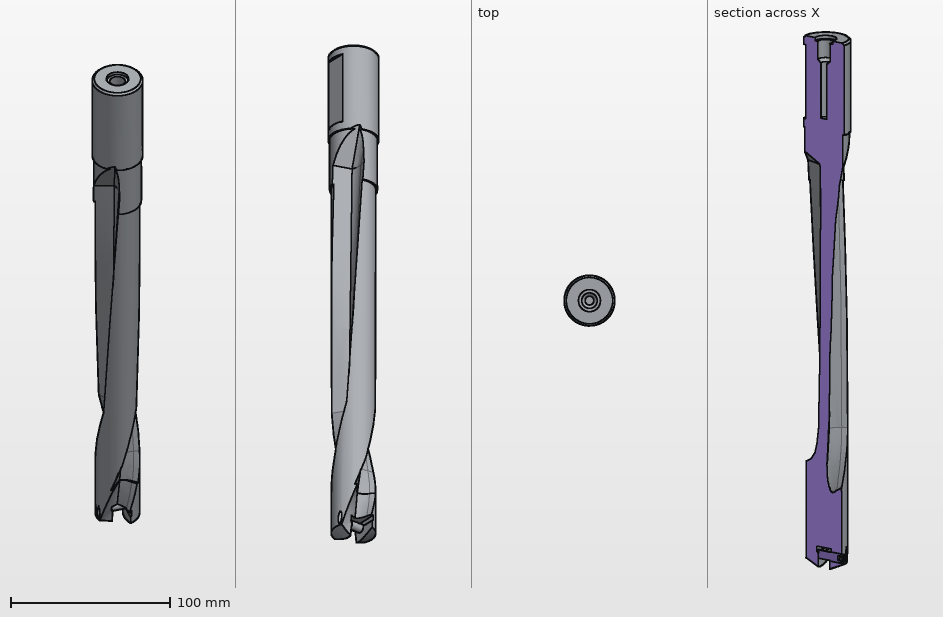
import cadquery as cq
import math

length = 346.3
shank_bottom = 286.0
collar_bottom = 250.7
runout_start = 264.0
steep_twist_start = 92.0
tip_twist_start = 52.0
narrow_flute_start = 32.2
tip_corner_height = 4.5

shank_radius = 32.0 / 2
collar_radius = 30.0 / 2
body_radius = 28.0 / 2
shank_chamfer = 1.5

flat_offset = 14.2
flat_bottom = 292.0
flat_top = 340.0

entry_radius = 7.0
entry_depth = 2.0
bore_radius = 5.0
bore_depth = 14.0
coolant_radius = 2.8
coolant_depth = 52.0

flute_count = 2
core_radius = 3.3
flute_half_angle = 42.0
tip_flute_half_angle = 36.0
heel_flat_start = 10.0
floor_bulge = 0.7
flute_reach = 24.2
flute_angle_at_tip = 139.0
tip_twist_rate = 1.502
middle_twist_rate = 1.126
upper_twist_rate = 0.2541
runout_rise = 1.9

seat_width = 8.5
seat_height = 13.5
relief_depth = 1.0
relief_bottom = 9.5

screw_radius = 2.87
screw_x = -1.55
screw_z = 8.5
screw_head_y = -13.0
screw_end_y = seat_width / 2
socket_across_corners = 3.0
socket_depth = 2.0

outlet_radius = 1.5
outlet_x = 3.5
outlet_z = 9.7
outlet_lean = 20.0
outlet_length = 14.0

tip_slope = tip_corner_height / (body_radius - seat_width / 2)
apex_z = tip_corner_height - body_radius * tip_slope


def polar(radius, degrees):
    angle = math.radians(degrees)
    return (radius * math.cos(angle), radius * math.sin(angle))


def make_blank():
    """Turned outline: pointed tip, body, collar and chamfered shank."""
    outline = [
        (0, apex_z),
        (body_radius, tip_corner_height),
        (body_radius, collar_bottom),
        (collar_radius, collar_bottom),
        (collar_radius, shank_bottom),
        (shank_radius, shank_bottom),
        (shank_radius, length - shank_chamfer),
        (shank_radius - shank_chamfer, length),
        (0, length),
    ]
    return cq.Workplane("XZ").polyline(outline).close().revolve(360, (0, 0), (0, 1))


def make_clamping_flat():
    width = 2 * shank_radius
    return (
        cq.Workplane("XY", origin=(0, flat_offset, flat_bottom))
        .rect(width, width)
        .extrude(flat_top - flat_bottom)
        .translate((0, width / 2, 0))
    )


def make_coolant_bore():
    cone_depth = bore_radius - coolant_radius
    outline = [
        (0, length),
        (entry_radius, length),
        (entry_radius, length - entry_depth),
        (bore_radius, length - entry_depth),
        (bore_radius, length - bore_depth),
        (coolant_radius, length - bore_depth - cone_depth),
        (coolant_radius, length - coolant_depth),
        (0, length - coolant_depth),
    ]
    return cq.Workplane("XZ").polyline(outline).close().revolve(360, (0, 0), (0, 1))


def flute_points(half_angle):
    """Section points about +X: core corner, arc middle, arc end and flat wall end."""
    core = (core_radius, 0)
    heel = polar(heel_flat_start, half_angle)
    dx = heel[0] - core[0]
    dy = heel[1] - core[1]
    chord = math.hypot(dx, dy)
    middle = (
        core[0] + dx / 2 - floor_bulge * dy / chord,
        core[1] + dy / 2 + floor_bulge * dx / chord,
    )
    edge = polar(body_radius, -half_angle)
    stretch = flute_reach / body_radius
    wall_end = (
        core[0] + stretch * (edge[0] - core[0]),
        core[1] + stretch * (edge[1] - core[1]),
    )
    return core, middle, heel, wall_end


def flute_section(angle, z, half_angle):
    core, middle, heel, wall_end = flute_points(half_angle)
    plane = cq.Plane(origin=(0, 0, z), xDir=(*polar(1, angle), 0), normal=(0, 0, 1))
    return (
        cq.Workplane(plane)
        .moveTo(*core)
        .threePointArc(middle, heel)
        .lineTo(*polar(flute_reach, half_angle))
        .lineTo(*wall_end)
        .close()
    )


def make_runout(angle):
    """Straight cutter leaning outwards, square to the flute's flat wall."""
    core, _, _, wall_end = flute_points(flute_half_angle)
    wall_direction = math.degrees(math.atan2(wall_end[1] - core[1], wall_end[0] - core[0]))
    travel = polar(flute_reach, angle + wall_direction + 90)
    section = flute_section(angle, runout_start, flute_half_angle).wire().val()
    lean = cq.Vector(*travel, flute_reach * runout_rise)
    return cq.Workplane(cq.Solid.extrudeLinear(section, [], lean))


def flute_cutters(start_angle):
    """One flute from below the tip to its run-out, in stretches of constant pitch."""
    stretches = [
        (apex_z, narrow_flute_start, tip_twist_rate, tip_flute_half_angle),
        (narrow_flute_start, tip_twist_start, tip_twist_rate, flute_half_angle),
        (tip_twist_start, steep_twist_start, middle_twist_rate, flute_half_angle),
        (steep_twist_start, runout_start, upper_twist_rate, flute_half_angle),
    ]
    angle = start_angle + apex_z * tip_twist_rate
    cutters = []
    for bottom, top, rate, half_angle in stretches:
        twist = rate * (top - bottom)
        section = flute_section(angle, bottom, half_angle)
        cutters.append(section.twistExtrude(top - bottom, twist))
        angle += twist
    cutters.append(make_runout(angle))
    return cutters


def make_insert_seat():
    """Slot through the tip along X, undercut beside its floor."""
    half = seat_width / 2
    outline = [
        (-half, apex_z),
        (half, apex_z),
        (half, relief_bottom),
        (half + relief_depth, relief_bottom + relief_depth),
        (half + relief_depth, seat_height),
        (-half - relief_depth, seat_height),
        (-half - relief_depth, relief_bottom + relief_depth),
        (-half, relief_bottom),
    ]
    return cq.Workplane("YZ").polyline(outline).close().extrude(body_radius, both=True)


def screw_rod(start_y, end_y):
    return (
        cq.Workplane("XZ", origin=(screw_x, start_y, screw_z))
        .circle(screw_radius)
        .extrude(start_y - end_y)
    )


def make_coolant_outlet(turn):
    lean = math.radians(outlet_lean)
    axis = cq.Vector(0, math.sin(lean), math.cos(lean))
    middle = cq.Vector(outlet_x, -math.sqrt(body_radius**2 - outlet_x**2), outlet_z)
    start = middle - axis * outlet_length
    hole = cq.Solid.makeCylinder(outlet_radius, 2 * outlet_length, start, axis)
    return cq.Workplane(hole).rotate((0, 0, 0), (0, 0, 1), turn)


def make_drill_body():
    body = make_blank().cut(make_clamping_flat()).cut(make_coolant_bore())
    for index in range(flute_count):
        turn = index * 360 / flute_count
        for cutter in flute_cutters(flute_angle_at_tip + turn):
            body = body.cut(cutter)
        body = body.cut(make_coolant_outlet(turn))
    return body.cut(make_insert_seat()).cut(screw_rod(-body_radius, screw_end_y))


def make_clamping_screw():
    socket = (
        cq.Workplane("XZ", origin=(screw_x, screw_head_y, screw_z))
        .polygon(6, socket_across_corners)
        .extrude(-socket_depth)
    )
    return screw_rod(screw_head_y, screw_end_y).cut(socket)


drill_body = make_drill_body()
clamping_screw = make_clamping_screw()

result = cq.Compound.makeCompound([drill_body.val(), clamping_screw.val()])